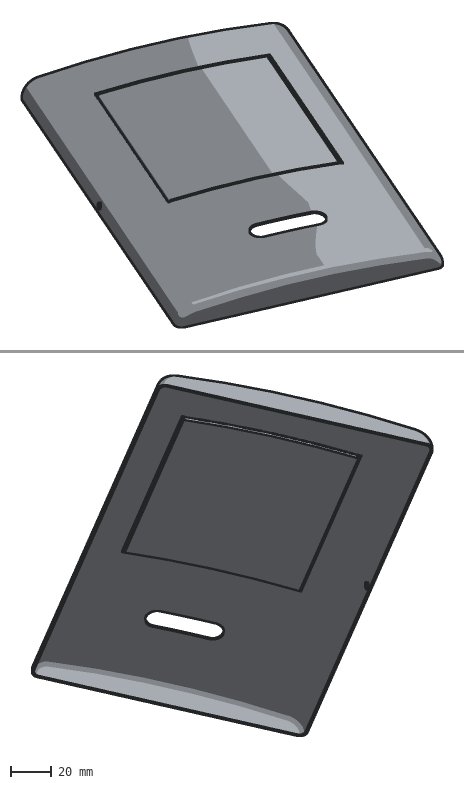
import cadquery as cq
import math

LENGTH = 214.0
WIDTH = 144.0
HEIGHT = 15.0
WALL = 1.0
SIDE_RADIUS = 11.1
END_RADIUS = 4.3

WINDOW_X_MIN = -77.7
WINDOW_X_MAX = 21.6
WINDOW_Y_MIN = -42.8
WINDOW_Y_MAX = 50.7

BUTTON_GAP = 1.0
BUTTON_THICKNESS = 2.1
BUTTON_EDGE_RADIUS = 1.5

SLOT_X = 63.1
SLOT_Y = 5.0
SLOT_LENGTH = 40.5
SLOT_WIDTH = 11.3

SCREW_DIAMETER = 3.5
SCREW_Z = 3.6

SIDE_CENTRE_Y = WIDTH / 2 - SIDE_RADIUS
CROWN_RADIUS = (SIDE_CENTRE_Y**2 + HEIGHT**2 - SIDE_RADIUS**2) / (2 * (HEIGHT - SIDE_RADIUS))
CROWN_CENTRE_Z = HEIGHT - CROWN_RADIUS
TANGENT_ANGLE = math.atan2(-CROWN_CENTRE_Z, SIDE_CENTRE_Y)


def dome(inset):
    """Crowned block bounded by the outer skin of the plate moved inwards by inset."""
    radius = SIDE_RADIUS - inset
    half_width = WIDTH / 2 - inset
    half_angle = TANGENT_ANGLE / 2
    tangent_y = SIDE_CENTRE_Y + radius * math.cos(TANGENT_ANGLE)
    tangent_z = radius * math.sin(TANGENT_ANGLE)
    middle_y = SIDE_CENTRE_Y + radius * math.cos(half_angle)
    middle_z = radius * math.sin(half_angle)
    block = (
        cq.Workplane("YZ")
        .moveTo(-half_width, 0)
        .threePointArc((-middle_y, middle_z), (-tangent_y, tangent_z))
        .threePointArc((0, HEIGHT - inset), (tangent_y, tangent_z))
        .threePointArc((middle_y, middle_z), (half_width, 0))
        .close()
        .extrude(LENGTH / 2 - inset, both=True)
    )
    end_edges = block.faces("<X or >X").edges("not <Z")
    return end_edges.fillet(END_RADIUS - inset)


def upright_box(x_min, x_max, y_min, y_max):
    """Box over the given rectangle, from Z = 0 up to the top of the plate."""
    return (
        cq.Workplane("XY")
        .moveTo(x_min, y_min)
        .lineTo(x_max, y_min)
        .lineTo(x_max, y_max)
        .lineTo(x_min, y_max)
        .close()
        .extrude(HEIGHT)
    )


def build_cover():
    """Hollow cover plate, open underneath, with window, slot and screw hole."""
    window = upright_box(WINDOW_X_MIN, WINDOW_X_MAX, WINDOW_Y_MIN, WINDOW_Y_MAX)
    slot = (
        cq.Workplane("XY")
        .center(SLOT_X, SLOT_Y)
        .slot2D(SLOT_LENGTH, SLOT_WIDTH, 90)
        .extrude(HEIGHT)
    )
    screw_hole = (
        cq.Workplane("XZ")
        .center(0, SCREW_Z)
        .circle(SCREW_DIAMETER / 2)
        .extrude(WIDTH / 2)
    )
    return dome(0).cut(dome(WALL)).cut(window).cut(slot).cut(screw_hole)


def crown_cylinder(radius):
    """Cylinder along X, concentric with the crown of the plate."""
    return (
        cq.Workplane("YZ")
        .center(0, CROWN_CENTRE_Z)
        .circle(radius)
        .extrude(LENGTH / 2, both=True)
    )


def build_button():
    """Curved push button flush with the crown, rounded along its two Y edges."""
    panel = upright_box(
        WINDOW_X_MIN + BUTTON_GAP,
        WINDOW_X_MAX - BUTTON_GAP,
        WINDOW_Y_MIN + BUTTON_GAP,
        WINDOW_Y_MAX - BUTTON_GAP,
    )
    panel = panel.intersect(crown_cylinder(CROWN_RADIUS))
    panel = panel.cut(crown_cylinder(CROWN_RADIUS - BUTTON_THICKNESS))
    front_top_edge = panel.faces("<Y").edges(">Z")
    back_top_edge = panel.faces(">Y").edges(">Z")
    return front_top_edge.add(back_top_edge).fillet(BUTTON_EDGE_RADIUS)


cover = build_cover()
button = build_button()
result = cq.Compound.makeCompound([cover.val(), button.val()])